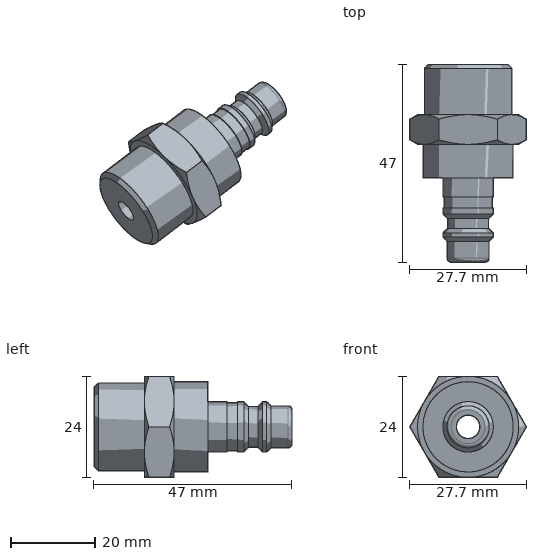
import cadquery as cq
import math

LENGTH = 47.0

TIP_END = 5.0
RIDGE_START = 6.0
RIDGE_END = 7.0
GROOVE_START = 8.1
GROOVE_END = 10.4
SHOULDER_START = 11.45
SHOULDER_END = 12.92
RELIEF_END = 15.5
COLLAR_START = 20.0
HEX_START = 28.0
HEX_END = 35.05

BORE_DIAMETER = 5.5
TIP_DIAMETER = 10.0
GROOVE_DIAMETER = 9.78
STEM_DIAMETER = 12.0
RELIEF_DIAMETER = 11.45
COLLAR_DIAMETER = 21.45
BODY_DIAMETER = 20.85

TIP_FILLET = 1.0
BODY_CHAMFER = 1.0

HEX_ACROSS_FLATS = 24.0
HEX_CHAMFER_ANGLE = 30.0


def make_turned_body():
    """Revolve the stepped plug, collar and rear body about the Y axis."""
    tip_radius = TIP_DIAMETER / 2
    groove_radius = GROOVE_DIAMETER / 2
    stem_radius = STEM_DIAMETER / 2
    relief_radius = RELIEF_DIAMETER / 2
    collar_radius = COLLAR_DIAMETER / 2
    body_radius = BODY_DIAMETER / 2
    arc_offset = TIP_FILLET * math.sqrt(0.5)
    arc_middle = (tip_radius - TIP_FILLET + arc_offset, TIP_FILLET - arc_offset)

    return (
        cq.Workplane("XY")
        .moveTo(0, 0)
        .lineTo(tip_radius - TIP_FILLET, 0)
        .threePointArc(arc_middle, (tip_radius, TIP_FILLET))
        .lineTo(tip_radius, TIP_END)
        .lineTo(stem_radius, RIDGE_START)
        .lineTo(stem_radius, RIDGE_END)
        .lineTo(groove_radius, GROOVE_START)
        .lineTo(groove_radius, GROOVE_END)
        .lineTo(stem_radius, SHOULDER_START)
        .lineTo(stem_radius, SHOULDER_END)
        .lineTo(relief_radius, SHOULDER_END)
        .lineTo(relief_radius, RELIEF_END)
        .lineTo(stem_radius, RELIEF_END)
        .lineTo(stem_radius, COLLAR_START)
        .lineTo(collar_radius, COLLAR_START)
        .lineTo(collar_radius, HEX_START)
        .lineTo(body_radius, HEX_START)
        .lineTo(body_radius, LENGTH - BODY_CHAMFER)
        .lineTo(body_radius - BODY_CHAMFER, LENGTH)
        .lineTo(0, LENGTH)
        .close()
        .revolve(360, (0, 0, 0), (0, 1, 0))
    )


def make_hexagon():
    """Hexagon with corners on X and conical chamfers on both ends."""
    flat_radius = HEX_ACROSS_FLATS / 2
    corner_radius = flat_radius / math.cos(math.radians(30))
    chamfer_slope = math.tan(math.radians(HEX_CHAMFER_ANGLE))
    chamfer_height = (corner_radius - flat_radius) * chamfer_slope

    prism = (
        cq.Workplane("XZ", origin=(0, HEX_START, 0))
        .polygon(6, 2 * corner_radius)
        .extrude(-(HEX_END - HEX_START))
    )
    chamfer_envelope = (
        cq.Workplane("XY")
        .moveTo(0, HEX_START)
        .lineTo(flat_radius, HEX_START)
        .lineTo(corner_radius, HEX_START + chamfer_height)
        .lineTo(corner_radius, HEX_END - chamfer_height)
        .lineTo(flat_radius, HEX_END)
        .lineTo(0, HEX_END)
        .close()
        .revolve(360, (0, 0, 0), (0, 1, 0))
    )
    return prism.intersect(chamfer_envelope)


def make_bore():
    """Straight bore through the full length."""
    return cq.Workplane("XZ").circle(BORE_DIAMETER / 2).extrude(-LENGTH)


fitting = make_turned_body().union(make_hexagon()).cut(make_bore())
result = fitting.translate((0, -LENGTH / 2, 0))